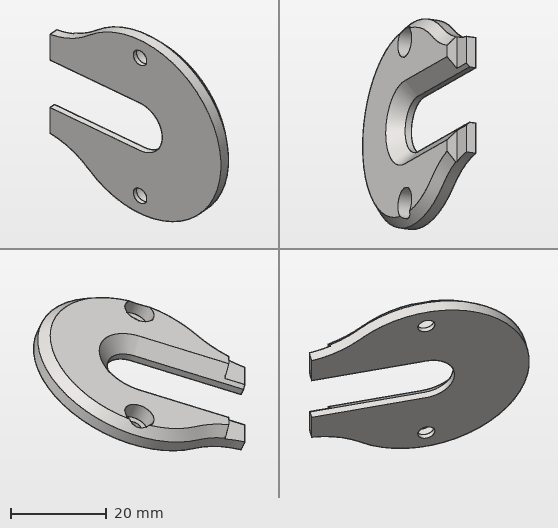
import cadquery as cq
import math

thickness = 4.5
disc_radius = 22.0
overall_length = 46.5
arm_end_x = disc_radius - overall_length
arm_end_z = 12.55
neck_radius = 20.0
rim_chamfer = 2.0

slot_radius = 6.0
slot_flare = 3.0
flare_angle = 45

tip_length = 4.5
tip_thickness = 2.25

hole_offset = 17.5
hole_diameter = 3.65
counterbore_diameter = 6.5
counterbore_depth = 3.5


def neck_points():
    """Return the disc tangent point and a mid point of the upper concave neck arc."""
    centre_distance = disc_radius + neck_radius
    corner_distance = math.hypot(arm_end_x, arm_end_z)
    cosine = (centre_distance**2 + corner_distance**2 - neck_radius**2) / (
        2 * centre_distance * corner_distance
    )
    centre_angle = math.atan2(arm_end_z, arm_end_x) - math.acos(cosine)
    centre_x = centre_distance * math.cos(centre_angle)
    centre_z = centre_distance * math.sin(centre_angle)
    tangent = (disc_radius * math.cos(centre_angle), disc_radius * math.sin(centre_angle))
    start_angle = math.atan2(arm_end_z - centre_z, arm_end_x - centre_x)
    end_angle = math.atan2(tangent[1] - centre_z, tangent[0] - centre_x)
    mid_angle = (start_angle + end_angle) / 2
    middle = (
        centre_x + neck_radius * math.cos(mid_angle),
        centre_z + neck_radius * math.sin(mid_angle),
    )
    return tangent, middle


def mirrored(point):
    return (point[0], -point[1])


def back_plane():
    """Plane on the back face with local x along X and local y along Z; its normal is -Y."""
    return cq.Workplane("XZ", origin=(0, thickness, 0))


def make_plate():
    tangent, middle = neck_points()
    plate = (
        back_plane()
        .moveTo(arm_end_x, arm_end_z)
        .threePointArc(middle, tangent)
        .threePointArc((disc_radius, 0), mirrored(tangent))
        .threePointArc(mirrored(middle), (arm_end_x, -arm_end_z))
        .close()
        .extrude(thickness)
    )
    curved_back_edges = plate.faces(">Y").edges("not(<X)")
    return plate.newObject(curved_back_edges.vals()).chamfer(rim_chamfer)


def make_slot():
    """Through slot with a 45 degree flare opening at the back face."""
    straight = slot_prism(slot_radius, thickness)
    flare = slot_prism(slot_radius + slot_flare, slot_flare, flare_angle)
    return straight.union(flare)


def slot_prism(radius, depth, taper=0):
    open_end = arm_end_x - 2 * slot_radius
    return (
        back_plane()
        .moveTo(open_end, radius)
        .lineTo(0, radius)
        .threePointArc((radius, 0), (0, -radius))
        .lineTo(open_end, -radius)
        .close()
        .extrude(depth, taper=taper)
    )


def make_tip_recess():
    return cq.Workplane("XY").box(
        tip_length, thickness, 2 * disc_radius, centered=(False, False, True)
    ).translate((arm_end_x, tip_thickness, 0))


def make_screw_holes():
    centres = [(0, hole_offset), (0, -hole_offset)]
    holes = back_plane().pushPoints(centres).circle(hole_diameter / 2).extrude(thickness)
    counterbores = (
        back_plane().pushPoints(centres).circle(counterbore_diameter / 2).extrude(counterbore_depth)
    )
    return holes.union(counterbores)


result = make_plate().cut(make_slot()).cut(make_tip_recess()).cut(make_screw_holes())